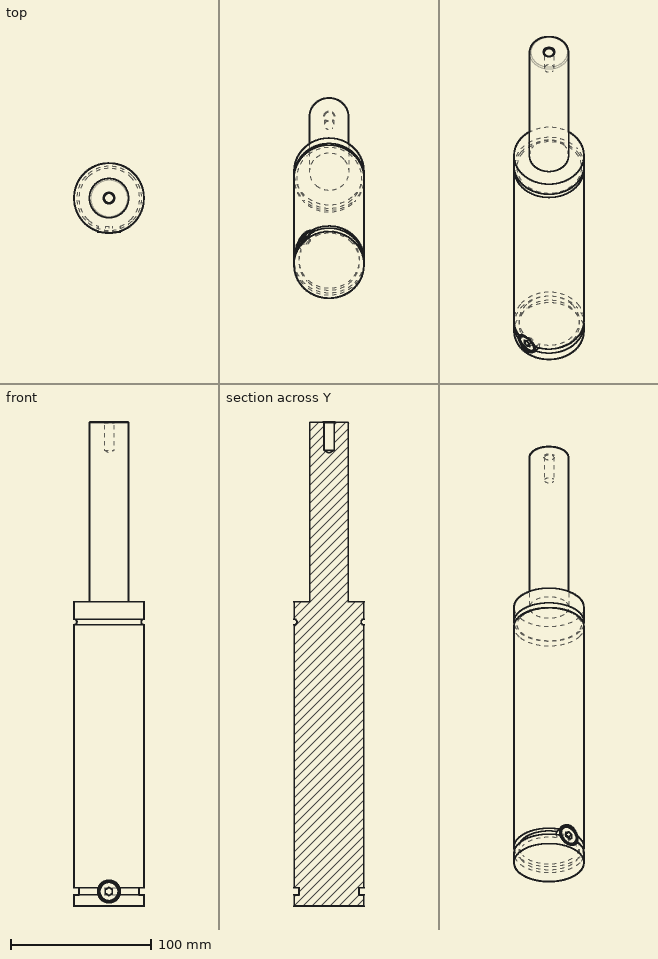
import cadquery as cq
import math

total_height = 345.0
body_diameter = 50.0
body_radius = body_diameter / 2
body_height = 217.0

rod_diameter = 28.0
rod_radius = rod_diameter / 2
rod_end_rounding = 1.0

rod_hole_diameter = 6.8
rod_hole_depth = 20.0
rod_hole_mouth_diameter = 8.0
drill_point_angle = 118.0

collar_height = 12.5
upper_groove_radius = 2.0

base_height = 8.0
lower_groove_width = 5.0
lower_groove_depth = 3.5

port_height = base_height + lower_groove_width / 2
port_boss_diameter = 16.0
port_face_depth = 0.8
port_face_y = -body_radius + port_face_depth
boss_length = body_radius / 2
plug_diameter = 14.0
plug_length = 5.0
plug_bevel = 0.5
socket_sides = 6
socket_across_flats = 5.0
socket_depth = 4.0


def revolve_around_z(half_section):
    """Revolve a closed half section, drawn in the XZ plane, around Z."""
    return half_section.revolve(360, (0, 0, 0), (0, 1, 0))


def make_body_and_rod():
    """Solid of the grooved body with the rod on top."""
    lower_groove_top = base_height + lower_groove_width
    lower_groove_floor = body_radius - lower_groove_depth
    collar_bottom = body_height - collar_height
    upper_groove_middle = collar_bottom - upper_groove_radius
    upper_groove_bottom = upper_groove_middle - upper_groove_radius
    upper_groove_floor = body_radius - upper_groove_radius
    rounding_start = total_height - rod_end_rounding
    rounding_reach = rod_end_rounding * math.sqrt(0.5)
    rod_end_radius = rod_radius - rod_end_rounding
    rounding_middle = (rod_end_radius + rounding_reach, rounding_start + rounding_reach)
    half_section = (
        cq.Workplane("XZ")
        .moveTo(0, 0)
        .lineTo(body_radius, 0)
        .lineTo(body_radius, base_height)
        .lineTo(lower_groove_floor, base_height)
        .lineTo(lower_groove_floor, lower_groove_top)
        .lineTo(body_radius, lower_groove_top)
        .lineTo(body_radius, upper_groove_bottom)
        .threePointArc((upper_groove_floor, upper_groove_middle), (body_radius, collar_bottom))
        .lineTo(body_radius, body_height)
        .lineTo(rod_radius, body_height)
        .lineTo(rod_radius, rounding_start)
        .threePointArc(rounding_middle, (rod_end_radius, total_height))
        .lineTo(0, total_height)
        .close()
    )
    return revolve_around_z(half_section)


def make_rod_hole():
    """Cutter for the hole in the rod end: bevelled mouth, bore and drill point."""
    hole_radius = rod_hole_diameter / 2
    mouth_radius = rod_hole_mouth_diameter / 2
    mouth_depth = mouth_radius - hole_radius
    bore_bottom = total_height - rod_hole_depth
    point_length = hole_radius / math.tan(math.radians(drill_point_angle / 2))
    half_section = [
        (0, total_height),
        (mouth_radius, total_height),
        (hole_radius, total_height - mouth_depth),
        (hole_radius, bore_bottom),
        (0, bore_bottom - point_length),
    ]
    return revolve_around_z(cq.Workplane("XZ").polyline(half_section).close())


def port_plane(outer_y):
    """Workplane across the port axis at outer_y; negative extrusions run into the body."""
    return cq.Workplane("XZ", origin=(0, outer_y, port_height))


def port_cylinder(diameter, outer_y, length):
    """Cylinder on the port axis, running from outer_y into the body."""
    return port_plane(outer_y).circle(diameter / 2).extrude(-length)


def add_port_boss(part):
    """Face the body flat around the port and bridge the groove with the boss."""
    spotface = port_cylinder(port_boss_diameter, -body_radius, port_face_depth)
    boss = port_cylinder(port_boss_diameter, port_face_y, boss_length)
    return part.cut(spotface).union(boss)


def add_port_plug(part):
    """Fit the bevelled plug flush in the boss; its socket has two corners along Z."""
    bore = port_cylinder(plug_diameter, port_face_y, plug_length)
    plug = bore.faces("<Y").chamfer(plug_bevel)
    half_side_angle = 180 / socket_sides
    socket_across_corners = socket_across_flats / math.cos(math.radians(half_side_angle))
    socket = (
        port_plane(port_face_y)
        .transformed(rotate=(0, 0, half_side_angle))
        .polygon(socket_sides, socket_across_corners)
        .extrude(-socket_depth)
    )
    return part.cut(bore).union(plug).cut(socket)


housing = make_body_and_rod().cut(make_rod_hole())
result = add_port_plug(add_port_boss(housing))